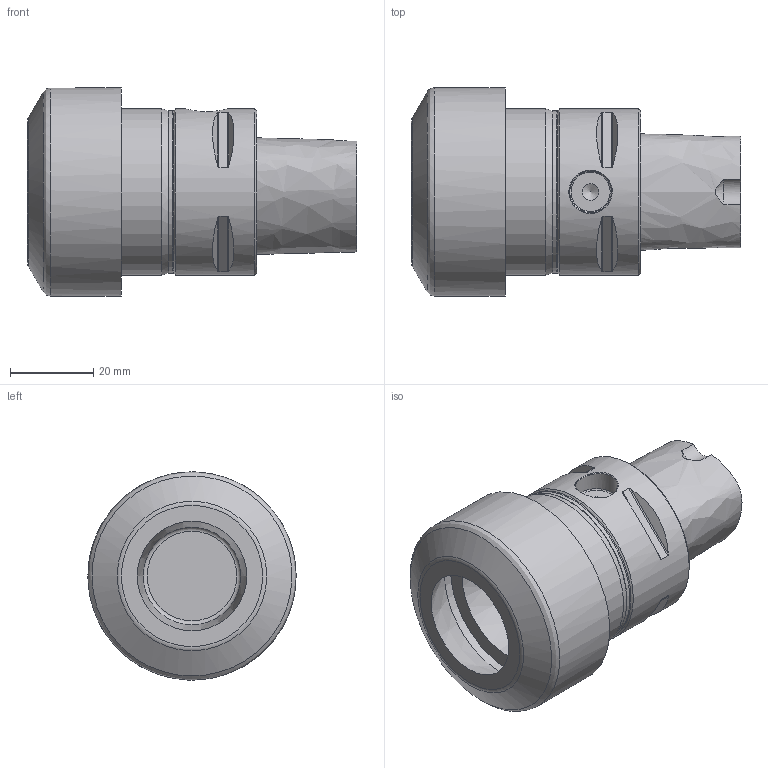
import cadquery as cq
import math


cutter_overshoot = 1.0
selection_margin = 0.1

front_x = -55.0
shank_length = 24.0

nut_radius = 25.0
nut_length = 22.5
nut_face_radius = 17.5
nut_cone_slope = math.radians(30)
nut_outer_round = 2.0
nut_inner_round = 2.0
nut_mouth_radius = 13.15
nut_cavity_radius = 38.5 / 2
nut_cavity_angle = math.radians(30)

body_radius = 20.0
flange_chamfer = 0.5

collar_land_radius = 39.0 / 2
collar_start = 32.2
collar_land_start = 33.8
collar_end = 35.5
collar_round = 0.4

pocket_front = 12.7
pocket_mouth_radius = 15.3
pocket_radius = 23.5 / 2
pocket_taper = math.radians(8)
pocket_floor = 40.0
pocket_floor_round = 1.0

groove_x = -8.0
groove_floor_distance = 17.67
groove_floor_width = 2.5
groove_wall_angle = math.radians(30)
groove_floor_round = 0.35
groove_count = 4
first_groove_angle = 45

chip_hole_x = -12.0
chip_hole_radius = 5.0
chip_hole_floor = 14.8
chip_hole_rim_chamfer = 0.2
chip_hole_floor_round = 0.3
dimple_radius = 2.0
dimple_depth = 1.0
drill_half_angle = math.radians(59)

shank_mean_radius = 14.0
shank_lobe = 1.0
shank_curve_points = 72
shank_taper = 1 / 20

notch_radius = 3.5
notch_axis_z = 14.0
notch_length = 4.0


def revolve_about_x(profile):
    """Revolve an XY profile one full turn about the X axis."""
    return profile.revolve(360, (0, 0, 0), (1, 0, 0))


def edges_between(x_low, x_high):
    """Selector for edges lying wholly between two planes normal to X."""
    reach = 2 * nut_radius
    low_corner = (x_low - selection_margin, -reach, -reach)
    high_corner = (x_high + selection_margin, reach, reach)
    return cq.selectors.BoxSelector(low_corner, high_corner, True)


def make_nut():
    nut_back = front_x + nut_length
    cone_end = front_x + (nut_radius - nut_face_radius) * math.tan(nut_cone_slope)
    nut = revolve_about_x(
        cq.Workplane("XY")
        .moveTo(front_x, 0)
        .lineTo(front_x, nut_face_radius)
        .lineTo(cone_end, nut_radius)
        .lineTo(nut_back, nut_radius)
        .lineTo(nut_back, 0)
        .close()
    )
    nut = nut.edges(edges_between(cone_end, cone_end)).fillet(nut_outer_round)
    return nut.faces("<X").edges().fillet(nut_inner_round)


def make_body():
    land_end = collar_end - (body_radius - collar_land_radius)
    body = revolve_about_x(
        cq.Workplane("XY")
        .moveTo(front_x + pocket_front, 0)
        .lineTo(front_x + pocket_front, body_radius)
        .lineTo(front_x + collar_start, body_radius)
        .lineTo(front_x + collar_land_start, collar_land_radius)
        .lineTo(front_x + land_end, collar_land_radius)
        .lineTo(front_x + collar_end, body_radius)
        .lineTo(-flange_chamfer, body_radius)
        .lineTo(0, body_radius - flange_chamfer)
        .lineTo(0, 0)
        .close()
    )
    land_edges = edges_between(front_x + collar_land_start, front_x + land_end)
    return body.edges(land_edges).fillet(collar_round)


def make_cavity():
    """Nut opening and collet pocket, as one solid to remove."""
    cavity_depth = (nut_cavity_radius - nut_mouth_radius) / math.tan(nut_cavity_angle)
    taper_length = (pocket_mouth_radius - pocket_radius) / math.tan(pocket_taper)
    floor_x = front_x + pocket_floor
    cavity = revolve_about_x(
        cq.Workplane("XY")
        .moveTo(front_x, 0)
        .lineTo(front_x, nut_mouth_radius)
        .lineTo(front_x + cavity_depth, nut_cavity_radius)
        .lineTo(front_x + pocket_front, nut_cavity_radius)
        .lineTo(front_x + pocket_front, pocket_mouth_radius)
        .lineTo(front_x + pocket_front + taper_length, pocket_radius)
        .lineTo(floor_x, pocket_radius)
        .lineTo(floor_x, 0)
        .close()
    )
    return cavity.faces(">X").edges().fillet(pocket_floor_round)


def polygon_section(x):
    """Three-lobed constant-width curve in the plane at x, one lobe pointing to -Z."""
    mean_radius = shank_mean_radius - shank_taper * x / 2

    def point(t):
        angle = 2 * math.pi * t
        support = mean_radius - shank_lobe * math.cos(3 * angle)
        slope = 3 * shank_lobe * math.sin(3 * angle)
        along_z = support * math.cos(angle) - slope * math.sin(angle)
        along_y = support * math.sin(angle) + slope * math.cos(angle)
        return (along_y, along_z)

    return cq.Workplane("YZ", origin=(x, 0, 0)).parametricCurve(point, N=shank_curve_points).wires().val()


def make_shank():
    sections = [polygon_section(0), polygon_section(shank_length)]
    return cq.Workplane(cq.Solid.makeLoft(sections, True))


def make_groove():
    """Trapezoidal cutter for the groove facing +Z, running along Y."""
    cutter_top = body_radius + cutter_overshoot
    half_floor = groove_floor_width / 2
    half_top = half_floor + (cutter_top - groove_floor_distance) * math.tan(groove_wall_angle)
    cutter = (
        cq.Workplane("XZ", origin=(groove_x, 0, 0))
        .moveTo(-half_floor, groove_floor_distance)
        .lineTo(half_floor, groove_floor_distance)
        .lineTo(half_top, cutter_top)
        .lineTo(-half_top, cutter_top)
        .close()
        .extrude(body_radius, both=True)
    )
    return cutter.faces("<Z").edges("|Y").fillet(groove_floor_round)


def make_chip_hole():
    cutter_height = body_radius - chip_hole_floor + cutter_overshoot
    hole = (
        cq.Workplane("XY", origin=(chip_hole_x, 0, chip_hole_floor))
        .circle(chip_hole_radius)
        .extrude(cutter_height)
        .faces("<Z")
        .edges()
        .fillet(chip_hole_floor_round)
    )
    tip_depth = dimple_radius / math.tan(drill_half_angle)
    dimple = (
        cq.Workplane("XZ", origin=(chip_hole_x, 0, chip_hole_floor))
        .lineTo(dimple_radius, 0)
        .lineTo(dimple_radius, -dimple_depth)
        .lineTo(0, -dimple_depth - tip_depth)
        .close()
        .revolve(360, (0, 0, 0), (0, 1, 0))
    )
    return hole.union(dimple)


def chamfer_chip_hole_rim(part):
    """Break the saddle-shaped edge where the chip hole meets the body."""
    reach = chip_hole_radius + selection_margin
    rim_bottom = math.sqrt(body_radius**2 - chip_hole_radius**2)
    low_corner = (chip_hole_x - reach, -reach, rim_bottom - selection_margin)
    high_corner = (chip_hole_x + reach, reach, body_radius + selection_margin)
    rim = cq.selectors.BoxSelector(low_corner, high_corner, True)
    return part.edges(rim).chamfer(chip_hole_rim_chamfer)


def make_notch():
    """Round notch cutter along X with a 90 degree point toward -X."""
    notch_start = shank_length - notch_length
    notch_end = shank_length + cutter_overshoot
    return (
        cq.Workplane("XY", origin=(0, 0, notch_axis_z))
        .moveTo(notch_start - notch_radius, 0)
        .lineTo(notch_start, notch_radius)
        .lineTo(notch_end, notch_radius)
        .lineTo(notch_end, 0)
        .close()
        .revolve(360, (0, 0, 0), (1, 0, 0))
    )


body = chamfer_chip_hole_rim(make_body().cut(make_chip_hole()))
result = make_nut().union(body).union(make_shank())
result = result.cut(make_cavity()).cut(make_notch())
for index in range(groove_count):
    turn = first_groove_angle + index * 360 / groove_count
    result = result.cut(make_groove().rotate((0, 0, 0), (1, 0, 0), turn))